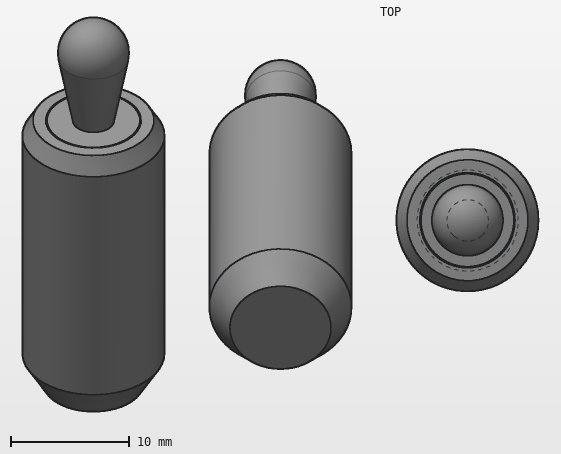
import cadquery as cq
import math

total_height = 37.2
housing_height = 27.2
housing_radius = 6.008
base_taper_height = 3.0
taper_angle = 30.0
rim_taper_height = 1.55
bore_radius = 4.0
bore_depth = 6.03
bush_clearance = 0.1
ball_radius = 3.0
neck_radius = 1.75

taper_slope = math.tan(math.radians(taper_angle))
base_radius = housing_radius - base_taper_height * taper_slope
rim_radius = housing_radius - rim_taper_height * taper_slope
bush_radius = bore_radius - bush_clearance
bore_floor = housing_height - bore_depth
ball_center = total_height - ball_radius


def make_housing():
    """Cylinder tapered at both ends, with a blind bore in its top."""
    profile = (
        cq.Workplane("XZ")
        .moveTo(0, 0)
        .lineTo(base_radius, 0)
        .lineTo(housing_radius, base_taper_height)
        .lineTo(housing_radius, housing_height - rim_taper_height)
        .lineTo(rim_radius, housing_height)
        .lineTo(bore_radius, housing_height)
        .lineTo(bore_radius, bore_floor)
        .lineTo(0, bore_floor)
        .close()
    )
    return profile.revolve(360, (0, 0, 0), (0, 1, 0))


def make_bush():
    """Ring standing on the bore floor, flush with the housing rim."""
    return (
        cq.Workplane("XY", origin=(0, 0, bore_floor))
        .circle(bush_radius)
        .circle(neck_radius)
        .extrude(bore_depth)
    )


def make_lever():
    """Straight stem in the bush, then a cone that runs tangent into a ball."""
    neck_drop = ball_center - housing_height
    neck_distance = math.hypot(neck_radius, neck_drop)
    tangent_angle = math.atan2(neck_drop, neck_radius) - math.acos(ball_radius / neck_distance)
    arc_middle_angle = (math.pi / 2 - tangent_angle) / 2

    def ball_point(angle):
        return (ball_radius * math.cos(angle), ball_center + ball_radius * math.sin(angle))

    profile = (
        cq.Workplane("XZ")
        .moveTo(0, bore_floor)
        .lineTo(neck_radius, bore_floor)
        .lineTo(neck_radius, housing_height)
        .lineTo(*ball_point(-tangent_angle))
        .threePointArc(ball_point(arc_middle_angle), (0, total_height))
        .close()
    )
    return profile.revolve(360, (0, 0, 0), (0, 1, 0))


housing = make_housing()
bush = make_bush()
lever = make_lever()

result = cq.Compound.makeCompound([housing.val(), bush.val(), lever.val()])